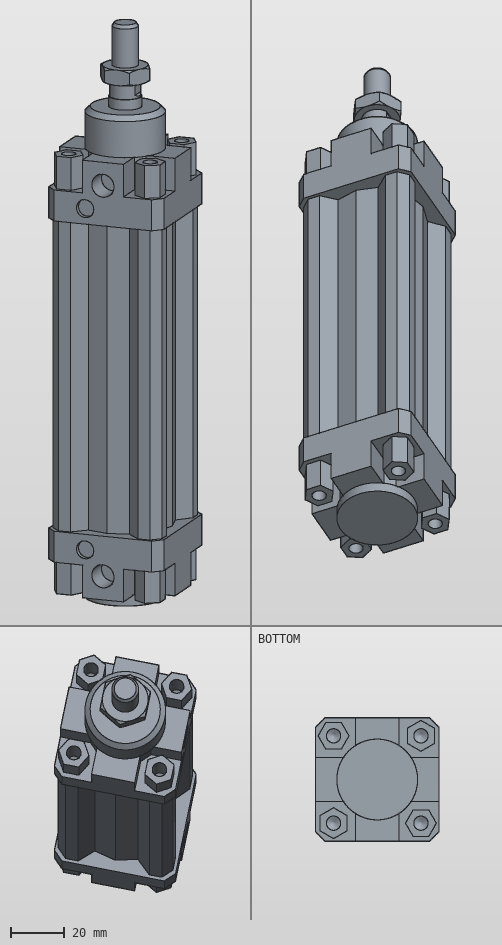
import cadquery as cq
import math


total_length = 221.0
cap_width = 46.0

spigot_height = 4.2
cap_height = 24.5
plate_height = 12.0
cap_corner_chamfer = 3.5
arm_width = 16.4
arm_corner_fill = 3.3
caps_length = 168.6

nose_radius = 15.0
nose_height = 16.0
nose_chamfer = 2.0

post_spacing = 32.5
post_across_flats = 10.0
post_hole_diameter = 5.3
post_hole_depth = 16.0
drill_point_angle = 118.0

port_diameter = 8.8
port_depth = 10.0
port_to_cap_end = 9.0
screw_hole_diameter = 6.9
screw_hole_depth = 2.0
screw_hole_offset = 7.0
screw_hole_to_cap_end = 18.5

barrel_width = 43.5
barrel_corner_chamfer = 3.5
land_inner_edge = 13.5
groove_bottom_edge = 8.2
groove_bottom_distance = 16.8
ridge_distance = 18.8

rod_diameter = 12.4
neck_diameter = 11.7
thread_diameter = 10.0
thread_chamfer_length = 1.3
thread_chamfer_depth = 0.9
thread_length = 22.3
neck_length = 6.0
rod_flats_width = 10.2
flats_length = 4.6
rod_socket_depth = nose_height

nut_across_flats = 17.0
nut_height = 6.0
nut_top_drop = 16.4
nut_chamfer_angle = 30.0
hexagon_half_angle = 30.0

front_cap_end = spigot_height + caps_length
nose_top = front_cap_end + nose_height
thread_base = total_length - thread_length
neck_base = thread_base - neck_length


def hexagon_diameter(across_flats):
    """Corner-to-corner diameter of a hexagon."""
    return across_flats / math.cos(math.radians(hexagon_half_angle))


def make_post(quarter_turns):
    """One corner post, standing on the cap plate; each corner is a quarter turn from the next."""
    height = cap_height - plate_height
    center = post_spacing / 2
    post = (
        cq.Workplane("XY", origin=(center, center, plate_height))
        .polygon(6, hexagon_diameter(post_across_flats))
        .extrude(height)
    )
    return post.rotate((0, 0, 0), (0, 0, 1), 90 * quarter_turns)


def make_post_hole(quarter_turns):
    """Blind hole with a drill point, cut down from the end of one post."""
    radius = post_hole_diameter / 2
    point_length = radius / math.tan(math.radians(drill_point_angle / 2))
    center = post_spacing / 2
    hole = (
        cq.Workplane("XZ")
        .moveTo(0, 0)
        .lineTo(radius, 0)
        .lineTo(radius, -post_hole_depth)
        .lineTo(0, -post_hole_depth - point_length)
        .close()
        .revolve(360, (0, 0), (0, 1))
        .translate((center, center, cap_height))
    )
    return hole.rotate((0, 0, 0), (0, 0, 1), 90 * quarter_turns)


def make_side_hole(x, z, diameter, depth):
    """Flat-bottomed cutter entering the -Y face of a cap."""
    return cq.Workplane("XZ", origin=(x, -cap_width / 2, z)).circle(diameter / 2).extrude(-depth)


def make_core():
    """Diagonal square block that bevels the four inner corners between the arms."""
    core_width = (arm_width + arm_corner_fill) * math.sqrt(2)
    core = cq.Workplane("XY").rect(core_width, core_width).extrude(cap_height)
    return core.rotate((0, 0, 0), (0, 0, 1), 45)


def make_cap():
    """End cap with its barrel side at Z = 0 and its end face up."""
    cap = (
        cq.Workplane("XY")
        .rect(cap_width, cap_width)
        .extrude(plate_height)
        .edges("|Z")
        .chamfer(cap_corner_chamfer)
    )
    cap = cap.union(cq.Workplane("XY").rect(cap_width, arm_width).extrude(cap_height))
    cap = cap.union(cq.Workplane("XY").rect(arm_width, cap_width).extrude(cap_height))
    cap = cap.union(make_core())
    for quarter_turns in range(4):
        cap = cap.union(make_post(quarter_turns)).cut(make_post_hole(quarter_turns))
    cap = cap.cut(make_side_hole(0, cap_height - port_to_cap_end, port_diameter, port_depth))
    return cap.cut(
        make_side_hole(
            -screw_hole_offset, cap_height - screw_hole_to_cap_end, screw_hole_diameter, screw_hole_depth
        )
    )


def make_barrel():
    """Extruded profile with a wide groove, ridged in the middle, along each side."""
    half = barrel_width / 2
    corner = half - barrel_corner_chamfer
    side = [
        (-corner, -half),
        (-land_inner_edge, -half),
        (-groove_bottom_edge, -groove_bottom_distance),
        (0, -ridge_distance),
        (groove_bottom_edge, -groove_bottom_distance),
        (land_inner_edge, -half),
        (corner, -half),
    ]
    outline = []
    for quarter_turns in range(4):
        outline += side
        side = [(-y, x) for x, y in side]
    rear_face = spigot_height + cap_height
    front_face = front_cap_end - cap_height
    return (
        cq.Workplane("XY", origin=(0, 0, rear_face)).polyline(outline).close().extrude(front_face - rear_face)
    )


def make_housing():
    """Barrel, both end caps, rear spigot and front nose, with a socket for the rod."""
    front_cap = make_cap().translate((0, 0, front_cap_end - cap_height))
    rear_cap = make_cap().mirror("XY").translate((0, 0, spigot_height + cap_height))
    spigot = cq.Workplane("XY").circle(nose_radius).extrude(spigot_height)
    nose = (
        cq.Workplane("XY", origin=(0, 0, front_cap_end))
        .circle(nose_radius)
        .extrude(nose_height)
        .faces(">Z")
        .chamfer(nose_chamfer)
    )
    socket = (
        cq.Workplane("XY", origin=(0, 0, nose_top)).circle(rod_diameter / 2).extrude(-rod_socket_depth)
    )
    return make_barrel().union(rear_cap).union(front_cap).union(spigot).union(nose).cut(socket)


def make_flat_cutter():
    """Cutter for the wrench flat on the +X side, with a 45 degree run-out at its lower end."""
    flat = rod_flats_width / 2
    outer = rod_diameter
    flat_end = thread_base - flats_length
    return (
        cq.Workplane("XZ")
        .moveTo(flat, thread_base)
        .lineTo(flat, flat_end)
        .lineTo(outer, flat_end - (outer - flat))
        .lineTo(outer, thread_base)
        .close()
        .extrude(rod_diameter / 2, both=True)
    )


def make_rod():
    """Stepped piston rod: shank, neck with two wrench flats, and thread shown as a plain cylinder."""
    shank_base = nose_top - rod_socket_depth
    shank = (
        cq.Workplane("XY", origin=(0, 0, shank_base)).circle(rod_diameter / 2).extrude(neck_base - shank_base)
    )
    neck = cq.Workplane("XY", origin=(0, 0, neck_base)).circle(neck_diameter / 2).extrude(neck_length)
    thread = (
        cq.Workplane("XY", origin=(0, 0, thread_base))
        .circle(thread_diameter / 2)
        .extrude(thread_length)
        .faces(">Z")
        .chamfer(thread_chamfer_length, thread_chamfer_depth)
    )
    flat = make_flat_cutter()
    return shank.union(neck).cut(flat).cut(flat.mirror("YZ")).union(thread)


def make_nut():
    """Hexagonal nut with its corners chamfered by a cone at both ends."""
    base = total_length - nut_top_drop - nut_height
    corner_radius = hexagon_diameter(nut_across_flats) / 2
    face_radius = nut_across_flats / 2
    drop = (corner_radius - face_radius) * math.tan(math.radians(nut_chamfer_angle))
    envelope = (
        cq.Workplane("XZ")
        .moveTo(0, 0)
        .lineTo(face_radius, 0)
        .lineTo(corner_radius, drop)
        .lineTo(corner_radius, nut_height - drop)
        .lineTo(face_radius, nut_height)
        .lineTo(0, nut_height)
        .close()
        .revolve(360, (0, 0), (0, 1))
    )
    prism = cq.Workplane("XY").polygon(6, 2 * corner_radius).extrude(nut_height)
    bore = cq.Workplane("XY").circle(thread_diameter / 2).extrude(nut_height)
    return prism.intersect(envelope).cut(bore).translate((0, 0, base))


housing = make_housing()
rod = make_rod()
nut = make_nut()

result = cq.Compound.makeCompound([housing.val(), rod.val(), nut.val()])